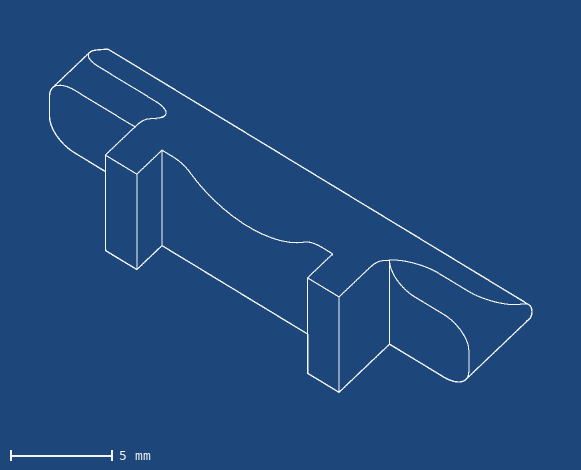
import cadquery as cq
import math

length = 26.5
depth = 9.0
height = 7.25

centre_left = 6.73
centre_width = 14.75
centre_right = centre_left + centre_width
centre_x = centre_left + centre_width / 2
rib_width = 2.0
rib_depth = 2.0

wing_front = 4.0
wing_height = 4.77
corner_radius = 1.6

slope_angle = 40.0
slope_start = 2.97
slope_end_height = height - (depth - slope_start) * math.tan(math.radians(slope_angle))

groove_radius = 5.3
groove_floor = 5.43
edge_radius = 1.5
pick_margin = 0.03


def sloped_body():
    """Full-length bar with the sloping back, the groove and all rounded edges."""
    bar = (
        cq.Workplane("YZ")
        .moveTo(rib_depth, 0)
        .lineTo(depth, 0)
        .lineTo(depth, slope_end_height)
        .lineTo(slope_start, height)
        .lineTo(rib_depth, height)
        .close()
        .extrude(length)
    )
    groove = (
        cq.Workplane("XZ")
        .center(centre_x, groove_floor + groove_radius)
        .circle(groove_radius)
        .extrude(-depth)
    )
    rounded_edges = cq.selectors.BoxSelector(
        (-pick_margin, rib_depth + pick_margin, groove_floor - pick_margin),
        (length + pick_margin, depth, height + pick_margin),
    )
    back_edge = cq.selectors.NearestToPointSelector((length / 2, depth, slope_end_height))
    return (
        bar.cut(groove)
        .edges(rounded_edges).fillet(edge_radius)
        .edges(back_edge).fillet(edge_radius)
    )


def front_outline():
    """Rounded wings blending into the raised centre section, full depth."""
    wings = (
        cq.Workplane("XZ")
        .rect(length, wing_height, centered=False)
        .extrude(-depth)
        .edges("|Y").fillet(corner_radius)
    )
    centre = (
        cq.Workplane("XZ")
        .center(centre_left, 0)
        .rect(centre_width, height, centered=False)
        .extrude(-depth)
    )
    outline = wings.union(centre)
    for wall_x in (centre_left, centre_right):
        inner_corner = cq.selectors.NearestToPointSelector((wall_x, depth / 2, wing_height))
        outline = outline.edges(inner_corner).fillet(corner_radius)
    return outline


def wing_relief(start_x, end_x):
    """Space in front of one wing."""
    return cq.Workplane("XY").box(
        end_x - start_x, wing_front, height, centered=False
    ).translate((start_x, 0, 0))


def rib(start_x):
    """Full-height rib standing out from the front of the centre section."""
    return cq.Workplane("XY").box(rib_width, rib_depth, height, centered=False).translate((start_x, 0, 0))


result = sloped_body().intersect(front_outline())
for start_x, end_x in ((0, centre_left), (centre_right, length)):
    result = result.cut(wing_relief(start_x, end_x))
for start_x in (centre_left, centre_right - rib_width):
    result = result.union(rib(start_x))